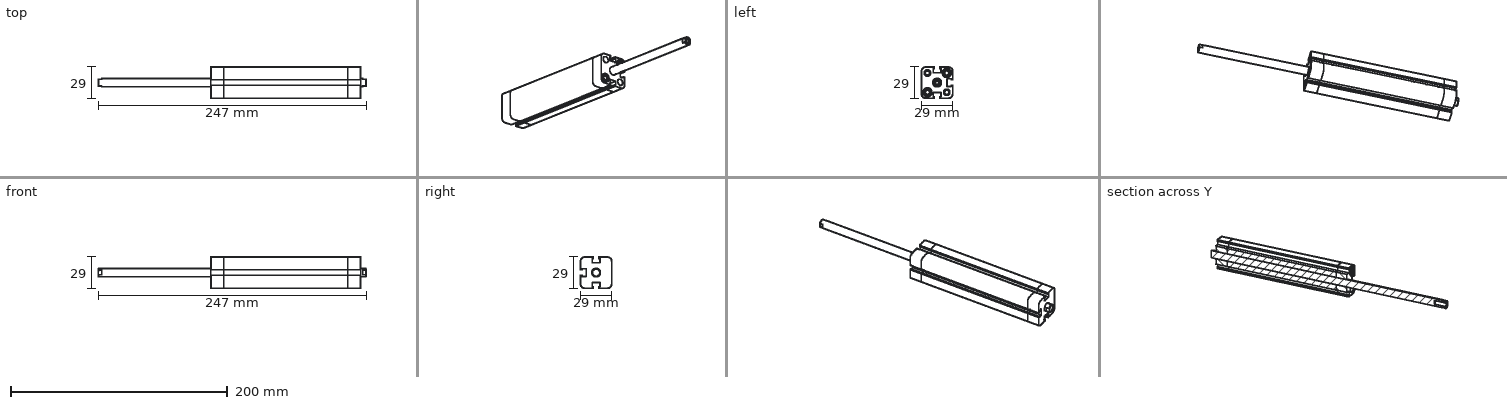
import cadquery as cq

total_length = 247.0
body_start = 104.0
body_length = 138.0
cap_length = 11.9
tube_length = body_length - 2 * cap_length
tube_start = body_start + cap_length
rear_cap_start = tube_start + tube_length

section_width = 29.0
corner_radius = 4.0
slot_width = 7.0
slot_depth = 5.2
slot_mouth_width = 5.2
slot_lip_thickness = 1.5
slot_angles = (0, 90, 180)

rod_diameter = 8.0
rod_chamfer = 0.5
tip_diameter = 7.7
tip_length = 4.0
shoulder_length = 0.5
flats_width = 6.5
flats_length = 3.2
rod_hole_diameter = 3.2
rod_hole_depth = 12.4
rod_hole_chamfer = 0.7

hole_offset = 9.0
bore_diameter = 6.0
pilot_diameter = 4.0
recess_mouth_diameter = 8.2
recess_floor_diameter = 7.0
recess_depth = 0.5
recess_hole_diameter = 4.0
bore_corners = ((1, 1), (-1, -1))
recess_corners = ((-1, 1), (1, -1))


def cylinder(start, length, diameter, y=0, z=0):
    """Cylinder along +X with its first end at (start, y, z)."""
    return cq.Workplane("YZ", origin=(start, y, z)).circle(diameter / 2).extrude(length)


def cone(start, length, first_diameter, last_diameter, y=0, z=0):
    """Truncated cone along +X with its first end at (start, y, z)."""
    base = cq.Vector(start, y, z)
    return cq.Workplane(
        cq.Solid.makeCone(first_diameter / 2, last_diameter / 2, length, base, cq.Vector(1, 0, 0))
    )


def slot(start, length):
    """Undercut groove in the -Z side: a narrow mouth in front of a wider channel."""
    bottom = -section_width / 2
    lip_top = bottom + slot_lip_thickness
    floor = bottom + slot_depth
    half_mouth = slot_mouth_width / 2
    half_slot = slot_width / 2
    outline = [
        (-half_mouth, bottom), (-half_mouth, lip_top), (-half_slot, lip_top), (-half_slot, floor),
        (half_slot, floor), (half_slot, lip_top), (half_mouth, lip_top), (half_mouth, bottom),
    ]
    return cq.Workplane("YZ", origin=(start, 0, 0)).polyline(outline).close().extrude(length)


def profile_block(start, length):
    """Slotted square section with the rod passage along its axis."""
    block = (
        cq.Workplane("YZ", origin=(start, 0, 0))
        .rect(section_width, section_width)
        .extrude(length)
        .edges("|X")
        .fillet(corner_radius)
    )
    for angle in slot_angles:
        block = block.cut(slot(start, length).rotate((0, 0, 0), (1, 0, 0), -angle))
    return block.cut(cylinder(start, length, rod_diameter))


def make_front_cap():
    cap = profile_block(body_start, cap_length)
    for y, z in bore_corners:
        cap = cap.cut(cylinder(body_start, cap_length, bore_diameter, y * hole_offset, z * hole_offset))
    for y, z in recess_corners:
        place = (y * hole_offset, z * hole_offset)
        cap = cap.cut(cone(body_start, recess_depth, recess_mouth_diameter, recess_floor_diameter, *place))
        cap = cap.cut(cylinder(body_start, cap_length, recess_hole_diameter, *place))
    return cap


def make_tube():
    tube = profile_block(tube_start, tube_length)
    for y, z in bore_corners:
        tube = tube.cut(cylinder(tube_start, tube_length, pilot_diameter, y * hole_offset, z * hole_offset))
    return tube


def make_rear_cap():
    return profile_block(rear_cap_start, cap_length)


def make_rod():
    half_outline = [
        (0, 0),
        (0, tip_diameter / 2 - rod_chamfer),
        (rod_chamfer, tip_diameter / 2),
        (tip_length, tip_diameter / 2),
        (tip_length + shoulder_length, rod_diameter / 2),
        (total_length - tip_length - shoulder_length, rod_diameter / 2),
        (total_length - tip_length, tip_diameter / 2),
        (total_length - rod_chamfer, tip_diameter / 2),
        (total_length, tip_diameter / 2 - rod_chamfer),
        (total_length, 0),
    ]
    rod = cq.Workplane("XZ").polyline(half_outline).close().revolve(360, (0, 0, 0), (1, 0, 0))
    flat_centers = (flats_length / 2, total_length - flats_length / 2)
    flat_shift = (flats_width + rod_diameter) / 2
    for flat_center in flat_centers:
        for side in (-1, 1):
            relief = cq.Workplane("XY").box(flats_length, rod_diameter, rod_diameter)
            rod = rod.cut(relief.translate((flat_center, side * flat_shift, 0)))
    rod = rod.cut(cylinder(0, rod_hole_depth, rod_hole_diameter))
    mouth_diameter = rod_hole_diameter + 2 * rod_hole_chamfer
    return rod.cut(cone(0, rod_hole_chamfer, mouth_diameter, rod_hole_diameter))


rod = make_rod()
front_cap = make_front_cap()
tube = make_tube()
rear_cap = make_rear_cap()

result = cq.Compound.makeCompound([rod.val(), front_cap.val(), tube.val(), rear_cap.val()])